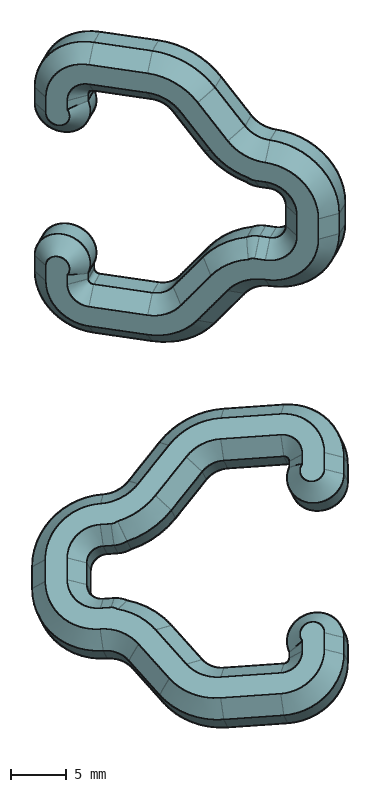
import cadquery as cq
import math

height = 30.0
length = 28.5
bar = 5.0
chamfer = 1.5
half_bar = bar / 2

hook_x = half_bar
arm_z = height / 2 - half_bar
loop_x = length - half_bar
hook_radius = 3.0
shoulder_radius = 5.0
waist_radius = 5.5
loop_radius = 4.0
arm_straight = 5.5
loop_flat = 2.1

tip_radius = 2.6
tip_z = 7.9

knuckle_length = 1.0

corner_x = hook_x + hook_radius
corner_z = arm_z - hook_radius
shoulder_x = corner_x + arm_straight
shoulder_z = arm_z - shoulder_radius
waist_x = loop_x - loop_radius
loop_z = loop_flat / 2
waist_end_z = loop_z + loop_radius
waist_z = waist_end_z + waist_radius

center_dx = waist_x - shoulder_x
center_dz = waist_z - shoulder_z
center_distance = math.hypot(center_dx, center_dz)
slope = math.asin((shoulder_radius + waist_radius) / center_distance) - math.atan2(center_dz, center_dx)


def on_arc(x, z, radius, angle):
    """Point on a circle, with the angle measured from +Z towards +X."""
    return (x + radius * math.sin(angle), z + radius * math.cos(angle))


def half_path():
    """Centreline from the hook tip to the middle of the loop."""
    eighth_turn = math.pi / 4
    return (
        cq.Workplane("XZ")
        .moveTo(hook_x, tip_z)
        .lineTo(hook_x, corner_z)
        .threePointArc(on_arc(corner_x, corner_z, hook_radius, -eighth_turn), (corner_x, arm_z))
        .lineTo(shoulder_x, arm_z)
        .threePointArc(
            on_arc(shoulder_x, shoulder_z, shoulder_radius, slope / 2),
            on_arc(shoulder_x, shoulder_z, shoulder_radius, slope),
        )
        .lineTo(*on_arc(waist_x, waist_z, -waist_radius, slope))
        .threePointArc(
            on_arc(waist_x, waist_z, -waist_radius, slope / 2),
            (waist_x, waist_end_z),
        )
        .threePointArc(on_arc(waist_x, loop_z, loop_radius, eighth_turn), (loop_x, loop_z))
        .lineTo(loop_x, 0)
    )


def bar_section(plane, origin):
    """Square bar section with chamfered corners."""
    flat = half_bar - chamfer
    return (
        cq.Workplane(plane, origin=origin)
        .moveTo(-half_bar, -flat)
        .lineTo(-flat, -half_bar)
        .lineTo(flat, -half_bar)
        .lineTo(half_bar, -flat)
        .lineTo(half_bar, flat)
        .lineTo(flat, half_bar)
        .lineTo(-flat, half_bar)
        .lineTo(-half_bar, flat)
        .close()
    )


def button(x, z, radius):
    """Chamfered disc across the full bar thickness."""
    return (
        cq.Workplane("XZ", origin=(x, 0, z))
        .circle(radius)
        .extrude(half_bar, both=True)
        .edges("%CIRCLE")
        .chamfer(chamfer)
    )


def knuckle():
    """Straight bar ending in a button, level with the top of the loop."""
    start_x = waist_x - knuckle_length
    straight = bar_section("YZ", (start_x, 0, waist_end_z)).extrude(knuckle_length)
    return straight.union(button(start_x, waist_end_z, half_bar))


swept_bar = bar_section("XY", (hook_x, 0, tip_z)).sweep(half_path())
tip = button(tip_radius, tip_z, tip_radius)
upper_half = swept_bar.union(tip).union(knuckle())
lower_half = upper_half.mirror("XY")

result = upper_half.union(lower_half)